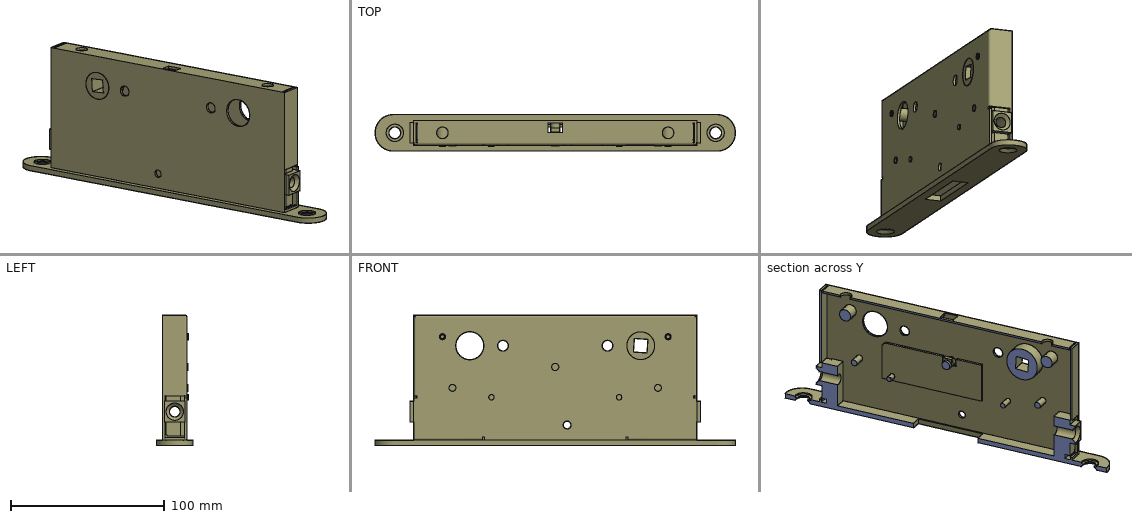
import cadquery as cq


plate_length = 235
plate_width = 24.0
plate_thick = 3.5
screw_spacing = 209.2
screw_hole_dia = 7.5
screw_bore_dia = 11.3
screw_bore_depth = 1.0
screw_sink_dia = 11.8
screw_sink_depth = 2.0
hook_slot_length = 47
hook_slot_width = 10.8

total_height = 85.0
case_length = 184.7
case_thick = 16.2
sheet = 1.6
bend_radius = 1.6
case_end = case_length / 2
case_front = -case_thick / 2
inner_front = case_front + sheet
inner_back = -inner_front
inner_thick = case_thick - 2 * sheet

relief_size = 1.5
relief_reach = 2.0
bottom_bend_start = 46.8
bottom_bend_radius = 1.2
seam_width = 0.7
seam_x = case_end - sheet - seam_width / 2

end_window_bottom = 5.2
end_window_top = 32.5
top_window_length = 9.5
top_window_front = 0.2
top_hole_dia = 7.5

hub_x = 55.7
hub_z = 65.0
hub_hole_dia = 18.0
fixing_hole_x = 34.0
fixing_hole_dia = 6.8
low_hole_x = 7.8
low_hole_z = 13.5
low_hole_dia = 5.0

hub_flange_dia = 22.5
hub_recess = 0.2
square_side = 8.7
square_tilt = -4

head_rise = 0.7
low_head_rise = 0.5
spacer_x = 73.5
spacer_z = 71.0
spacer_dia = 8.5
spacer_head_dia = 4.0
spacer_bore_dia = 2.5
spacer_bore_depth = 2.8
outer_rivet_x = 67.0
outer_rivet_z = 37.5
outer_rivet_dia = 4.5
inner_rivet_x = 41.5
inner_rivet_z = 31.5
inner_rivet_dia = 3.5
pivot_z = 51.2
pivot_head_dia = 4.7
pivot_dia = 6.0

lever_left = -49.4
lever_right = 23.5
lever_bottom = 28.2
lever_top = 54.5
lever_front = 3.8
lever_corner_radius = 3.5
lever_notch_width = 9.9
lever_notch_bottom = 49.4
lug_length = 6.0
lug_front = 0.5
lug_back = 3.0
lug_top = 55.5

block_length = 11.8
nose_length = 3.5
nose_back = 5.6
nose_bottom = 6.0
nose_bevel = 2.8
nose_corner = 1.2
bore_z = 22.0
bore_dia = 6.8
bore_mouth_dia = 11.3
boss_height = 13.6
boss_width = 13.2
boss_end = 94.7


def box(x_min, x_max, y_min, y_max, z_min, z_max):
    """Axis-aligned box between the given limits."""
    return cq.Workplane("XY").box(
        x_max - x_min, y_max - y_min, z_max - z_min, centered=False
    ).translate((x_min, y_min, z_min))


def cross_rod(x, z, diameter, y_min, y_max):
    """Cylinder running across the thickness of the case."""
    face = cq.Workplane("XZ", origin=(x, y_min, z))
    return face.circle(diameter / 2).extrude(y_min - y_max)


def through_rod(x, z, diameter):
    """Cylinder long enough to cut both broad sides."""
    return cross_rod(x, z, diameter, -case_thick, case_thick)


def make_faceplate():
    """Round-ended plate with screw holes and a slot for the hook."""
    plate = cq.Workplane("XY").slot2D(plate_length, plate_width).extrude(plate_thick)
    screws = plate.faces(">Z").workplane(origin=(0, 0, 0)).rarray(screw_spacing, 2.4, 2, 1)
    plate = screws.cboreHole(screw_hole_dia, screw_bore_dia, screw_bore_depth)
    neck_radius = screw_hole_dia / 2
    for side in (-1, 1):
        sink = cq.Solid.makeCone(
            screw_sink_dia / 2, neck_radius, screw_sink_depth,
            pnt=cq.Vector(side * screw_spacing / 2, 0, 0),
        )
        plate = plate.cut(cq.Workplane(sink))
    slot = cq.Workplane("XY").rect(hook_slot_length, hook_slot_width).extrude(plate_thick)
    return plate.cut(slot)


def make_shell():
    """Case walls, open underneath, with rounded front bends."""
    upper = box(-case_end, case_end, case_front, -case_front, end_window_top, total_height)
    upper = upper.faces("<Y").edges(">Z or <X or >X").fillet(bend_radius)
    lower = box(-case_end, case_end, case_front, -case_front, plate_thick, end_window_top)
    shell = upper.union(lower)
    shell = shell.cut(box(
        -case_end + sheet, case_end - sheet, inner_front, inner_back,
        plate_thick, total_height - sheet,
    ))
    roll = cq.Workplane(
        "YZ",
        origin=(-case_end, case_front + bottom_bend_radius, plate_thick + bottom_bend_radius),
    ).circle(bottom_bend_radius).extrude(case_length)
    for side in (-1, 1):
        bend = cq.Workplane("XY").box(
            case_end - bottom_bend_start, bottom_bend_radius, bottom_bend_radius
        ).translate((
            side * (case_end + bottom_bend_start) / 2,
            case_front + bottom_bend_radius / 2,
            plate_thick + bottom_bend_radius / 2,
        ))
        shell = shell.cut(bend.cut(roll))
    return shell


def cut_wall_openings(shell):
    """End windows, top window, top holes, reliefs and seams."""
    top_inside = total_height - sheet
    shell = shell.cut(box(
        -case_end, case_end, inner_front, inner_back, end_window_bottom, end_window_top
    ))
    half_window = top_window_length / 2
    shell = shell.cut(box(
        -half_window, half_window, top_window_front, inner_back, top_inside, total_height
    ))
    for side in (-1, 1):
        hole = cq.Workplane("XY", origin=(side * spacer_x, 0, top_inside))
        shell = shell.cut(hole.circle(top_hole_dia / 2).extrude(sheet))
        seam = cq.Workplane("XY", origin=(side * seam_x, 0, top_inside))
        shell = shell.cut(seam.rect(seam_width, inner_thick).extrude(sheet))
        end_relief = cq.Workplane("XY").box(2 * relief_reach, sheet, relief_size).translate((
            side * case_end, case_front + sheet / 2, end_window_top - relief_size / 2
        ))
        bottom_relief = cq.Workplane("XY").box(relief_size, sheet, relief_reach).translate((
            side * bottom_bend_start, case_front + sheet / 2, plate_thick + relief_reach / 2
        ))
        shell = shell.cut(end_relief).cut(bottom_relief)
    return shell


def cut_side_holes(shell):
    """Holes that pass through both broad sides."""
    for side in (-1, 1):
        shell = shell.cut(through_rod(side * hub_x, hub_z, hub_hole_dia))
        shell = shell.cut(through_rod(side * fixing_hole_x, hub_z, fixing_hole_dia))
    return shell.cut(through_rod(low_hole_x, low_hole_z, low_hole_dia))


def make_hub():
    """Flanged hub that fills the right-hand holes and has a square drive."""
    flange = cross_rod(hub_x, hub_z, hub_flange_dia, inner_front, inner_back)
    core_front = case_front + hub_recess
    core = cross_rod(hub_x, hub_z, hub_hole_dia, core_front, -core_front)
    drive = cq.Workplane("XZ", origin=(hub_x, 0, hub_z))
    drive = drive.transformed(rotate=(0, 0, square_tilt)).rect(square_side, square_side)
    return flange.union(core).cut(drive.extrude(case_thick, both=True))


def make_rivet(x, z, diameter, head_diameter, rise):
    """Pin between the broad sides with a head standing proud of the front."""
    pin = cross_rod(x, z, diameter, inner_front, inner_back)
    return pin.union(cross_rod(x, z, head_diameter, case_front - rise, inner_front))


def make_spacer(x):
    """Thick pin with a blind bore in its head."""
    spacer = make_rivet(x, spacer_z, spacer_dia, spacer_head_dia, head_rise)
    bore_front = case_front - head_rise
    bore = cross_rod(x, spacer_z, spacer_bore_dia, bore_front, bore_front + spacer_bore_depth)
    return spacer.cut(bore)


def make_lever():
    """Lever plate and flat-topped lug on the centre pivot."""
    lever = box(
        lever_left, lever_right, lever_front, lever_front + sheet, lever_bottom, lever_top
    ).edges("<X and >Z").fillet(lever_corner_radius)
    half_notch = lever_notch_width / 2
    lever = lever.cut(box(
        -half_notch, half_notch, lever_front, inner_back, lever_notch_bottom, lever_top
    ))
    lug = box(-lug_length / 2, lug_length / 2, lug_front, lug_back, pivot_z, lug_top)
    pivot = make_rivet(0, pivot_z, pivot_dia, pivot_head_dia, low_head_rise)
    return pivot.union(lever).union(lug)


def make_left_block():
    """Block behind the left end window with a square boss reaching out."""
    block_face = -case_end + sheet
    nose_root = block_face + nose_length
    nose = box(
        block_face, nose_root, inner_front, nose_back, nose_bottom, end_window_top
    )
    nose = nose.edges("|Z and <X and <Y").chamfer(nose_bevel)
    nose = nose.edges("|X and >Y and <Z").chamfer(nose_corner)
    block = nose.union(box(
        nose_root, block_face + block_length, inner_front, inner_back,
        plate_thick, end_window_top,
    ))
    boss = cq.Workplane("YZ", origin=(-boss_end, 0, bore_z)).rect(boss_width, boss_height)
    block = block.union(boss.extrude(boss_end + block_face + block_length))
    mouth = cq.Workplane("YZ", origin=(-boss_end, 0, bore_z))
    bore = mouth.circle(bore_dia / 2).extrude(2 * block_length)
    cone = cq.Solid.makeCone(
        bore_mouth_dia / 2, bore_dia / 2, (bore_mouth_dia - bore_dia) / 2,
        pnt=cq.Vector(-boss_end, 0, bore_z), dir=cq.Vector(1, 0, 0),
    )
    return block.cut(bore).cut(cq.Workplane(cone))


result = make_faceplate()
result = result.union(cut_side_holes(cut_wall_openings(make_shell())))
result = result.union(make_hub()).union(make_lever())
left_block = make_left_block()
result = result.union(left_block).union(left_block.mirror("YZ"))
for side in (-1, 1):
    result = result.union(make_spacer(side * spacer_x))
    result = result.union(make_rivet(
        side * outer_rivet_x, outer_rivet_z, outer_rivet_dia, outer_rivet_dia, low_head_rise
    ))
    result = result.union(make_rivet(
        side * inner_rivet_x, inner_rivet_z, inner_rivet_dia, inner_rivet_dia, head_rise
    ))